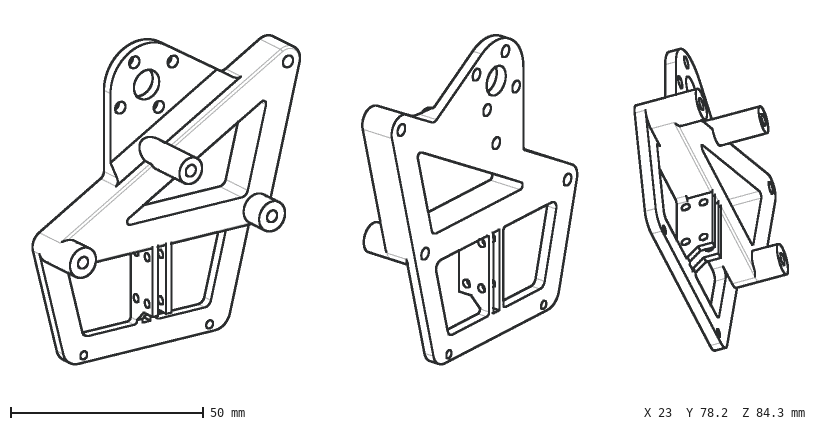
import cadquery as cq
import math


plate_thickness = 3.0
rib_height = 10.0
boss_height = 17.0
post_height = 23.0

motor = (0, 72.8)
top_mount = (40.0, 72.8)
left_mount = (30.0, 34.1)
right_mount = (-30.0, 34.1)
post = (0, 55.05)
foot_holes = [(-20.0, 2.0), (20.0, 2.0)]

rib_radius = 4.1
post_radius = 3.6
lobe_radius = 11.5
lobe_root_y = 26.1
foot_radius = 5.0
notch_radius = 2.0
frame_width = 7.1
window_radius = 2.0
small_radius = 1.0
screw_diameter = 3.2
small_diameter = 2.2
motor_diameter = 8.0
motor_screw_radii = [8.0, 9.5]

tab_outer_y = 2.99
tab_inner_y = 1.3
tab_foot_z = 8.2
tab_end_z = 11.1
tab_hole_x = [2.5, 7.5]
tab_hole_z = [14.1, 27.0]

ramp_size = 4.0
rim_round = 0.6


def shifted_line(start, end, distance):
    """Line through start and end, moved sideways to its left."""
    length = math.dist(start, end)
    along = ((end[0] - start[0]) / length, (end[1] - start[1]) / length)
    return (start[0] - along[1] * distance, start[1] + along[0] * distance), along


def crossing(first, second):
    (p, u), (q, v) = first, second
    travel = ((q[0] - p[0]) * v[1] - (q[1] - p[1]) * v[0]) / (u[0] * v[1] - u[1] * v[0])
    return p[0] + travel * u[0], p[1] + travel * u[1]


def level(z):
    return (0, z), (1, 0)


def upright(y):
    return (y, 0), (0, 1)


def mirrored(line):
    (y, z), (along_y, along_z) = line
    return (-y, z), (-along_y, along_z)


def rounded_prism(sides, radii, height):
    """Prism on X = 0 bounded by lines; radii[i] rounds the corner of sides[i] and the next side."""
    count = len(sides)
    corners = [crossing(sides[i], sides[(i + 1) % count]) for i in range(count)]
    path = None
    for i, corner in enumerate(corners):
        before = corners[i - 1]
        after = corners[(i + 1) % count]
        to_before = shifted_line(corner, before, 0)[1]
        to_after = shifted_line(corner, after, 0)[1]
        half_angle = math.acos(to_before[0] * to_after[0] + to_before[1] * to_after[1]) / 2
        setback = radii[i] / math.tan(half_angle)
        to_middle = radii[i] / math.sin(half_angle) - radii[i]
        bisector = shifted_line((0, 0), (to_before[0] + to_after[0], to_before[1] + to_after[1]), 0)[1]
        start = (corner[0] + setback * to_before[0], corner[1] + setback * to_before[1])
        middle = (corner[0] + to_middle * bisector[0], corner[1] + to_middle * bisector[1])
        end = (corner[0] + setback * to_after[0], corner[1] + setback * to_after[1])
        path = path.lineTo(*start) if path else cq.Workplane("YZ").moveTo(*start)
        path = path.threePointArc(middle, end)
    return path.close().extrude(height)


def cylinders(points, diameter, height):
    return cq.Workplane("YZ").pushPoints(points).circle(diameter / 2).extrude(height)


left_edge = shifted_line(left_mount, top_mount, -rib_radius)
right_edge = mirrored(left_edge)
diagonal_top = shifted_line(right_mount, top_mount, rib_radius)
diagonal_bottom = shifted_line(right_mount, top_mount, -rib_radius)
bar_top = level(left_mount[1] + rib_radius)
bar_bottom = level(left_mount[1] - rib_radius)

lobe_root = crossing(diagonal_top, upright(lobe_root_y))
root_bearing = math.atan2(lobe_root[1] - motor[1], lobe_root[0] - motor[0])
tangent_bearing = root_bearing + math.acos(lobe_radius / math.dist(motor, lobe_root))
lobe_tangent = (
    motor[0] + lobe_radius * math.cos(tangent_bearing),
    motor[1] + lobe_radius * math.sin(tangent_bearing),
)
lobe_slope = shifted_line(lobe_root, lobe_tangent, 0)


def outline_prism(height):
    sides = [level(0), left_edge, diagonal_top, lobe_slope, upright(-lobe_radius), diagonal_top, right_edge]
    radii = [foot_radius, rib_radius, notch_radius, lobe_radius, notch_radius, rib_radius, foot_radius]
    return rounded_prism(sides, radii, height)


def rib_triangle():
    """Raised triangle joining the three mounts, with a rounded front rim."""
    sides = [bar_bottom, left_edge, diagonal_top]
    triangle = rounded_prism(sides, [rib_radius] * 3, rib_height)
    return triangle.faces(">X").edges().fillet(rim_round)


def triangle_opening():
    inner_edge = shifted_line(left_mount, top_mount, rib_radius)
    sides = [bar_top, inner_edge, diagonal_bottom]
    return rounded_prism(sides, [window_radius, small_radius, small_radius], rib_height)


def window():
    """Opening on the +Y side of the tabs."""
    outer_edge = shifted_line(left_mount, top_mount, frame_width - rib_radius)
    sides = [bar_bottom, outer_edge, level(frame_width), upright(tab_outer_y)]
    radii = [window_radius, window_radius, small_radius, small_radius]
    return rounded_prism(sides, radii, rib_height)


def ramp():
    """45 degree gusset between the motor lobe and the top of the diagonal rib."""
    along = (0, right_mount[0] - top_mount[0], right_mount[1] - top_mount[1])
    across_rib = cq.Plane(origin=(0, *top_mount), xDir=(1, 0, 0), normal=along)
    top = rib_radius + ramp_size
    profile = [(0, 0), (plate_thickness + ramp_size, 0), (plate_thickness + ramp_size, rib_radius)]
    profile += [(plate_thickness, top), (0, top)]
    length = math.dist(top_mount, right_mount)
    gusset = cq.Workplane(across_rib).polyline(profile).close().extrude(length)
    return gusset.intersect(outline_prism(rib_height))


def tabs():
    chamfer = tab_end_z - tab_foot_z
    top = left_mount[1]
    profile = [(0, tab_foot_z), (plate_thickness, tab_foot_z), (plate_thickness + chamfer, tab_end_z)]
    profile += [(rib_height, tab_end_z), (rib_height, top), (0, top)]
    start = cq.Workplane("XZ", origin=(0, tab_outer_y, 0))
    tab = start.polyline(profile).close().extrude(tab_outer_y - tab_inner_y)
    return tab.union(tab.mirror("XZ"))


def slot():
    """Opening between the tabs, as tall as the windows."""
    height = left_mount[1] - rib_radius - frame_width
    block = cq.Workplane("XY").box(rib_height, 2 * tab_inner_y, height, (False, True, False))
    return block.translate((0, 0, frame_width))


def motor_holes():
    """Centre hole and two crossed screw pairs, one pair parallel to the diagonal rib."""
    rib_angle = math.atan2(top_mount[1] - right_mount[1], top_mount[0] - right_mount[0])
    screws = []
    for i in range(4):
        radius = motor_screw_radii[(i + 1) % 2]
        angle = rib_angle + i * math.pi / 2
        screws.append((motor[0] + radius * math.cos(angle), motor[1] + radius * math.sin(angle)))
    centre = cylinders([motor], motor_diameter, post_height)
    return centre.union(cylinders(screws, screw_diameter, post_height))


def tab_holes():
    points = [(x, z) for x in tab_hole_x for z in tab_hole_z]
    start = cq.Workplane("XZ", origin=(0, tab_outer_y, 0))
    return start.pushPoints(points).circle(small_diameter / 2).extrude(2 * tab_outer_y)


body = outline_prism(plate_thickness).union(ramp()).union(rib_triangle())
opening = window()
body = body.cut(opening).cut(opening.mirror("XZ"))
body = body.union(tabs()).cut(slot())
body = body.cut(triangle_opening())
body = body.union(cylinders([left_mount, right_mount], 2 * rib_radius, boss_height))
body = body.union(cylinders([post], 2 * post_radius, post_height))

body = body.cut(motor_holes())
body = body.cut(cylinders([top_mount, left_mount, right_mount, post], screw_diameter, post_height))
body = body.cut(cylinders(foot_holes, small_diameter, plate_thickness))
result = body.cut(tab_holes())